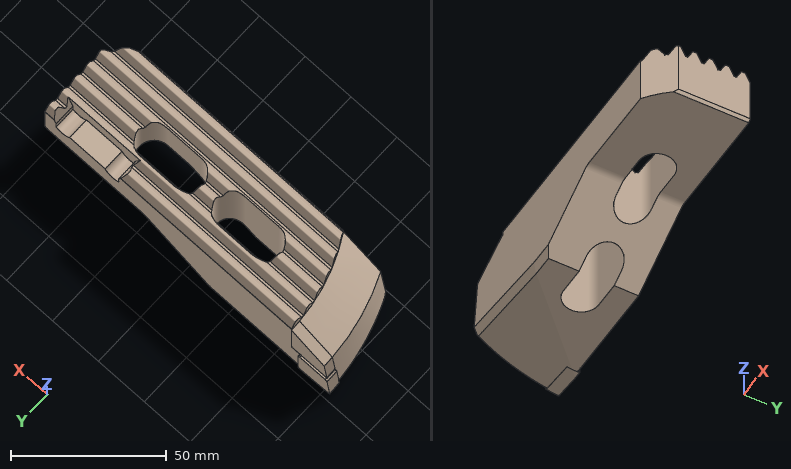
import cadquery as cq
import math

length = 125.0
height = 37.6
jaw_depth = 35.6

tooth_count = 6
tooth_height = 3.5
crest_width = 1.5
valley_width = 0.9
crest_fillet = 0.5
tooth_pitch = 6.0
valley_z = height - tooth_height

ridge_radius = 83.1
ridge_x = 3.1
ridge_z = 24.8
shelf_z = 33.0
shelf_slope = 30.0
nose_lean = 6.3
nose_axis_x = ridge_x + ridge_radius
wall_radius = ridge_radius - (shelf_z - ridge_z) / math.tan(math.radians(shelf_slope))
nose_base_radius = ridge_radius + ridge_z * math.tan(math.radians(nose_lean))

tail_z = 16.5
ramp_foot_x = 53.1
ramp_angle = 30.0
ramp_top_x = ramp_foot_x + tail_z / math.tan(math.radians(ramp_angle))
ramp_fillet = 5.0
tail_chamfer = 1.0
relief_start_x = 11.9
relief_angle = 6.6
relief_turn = 45.0
foot_chamfer = 2.1
nose_edge_fillet = 0.8

edge_margin = 0.1
low_edge_z = 6.2
nose_edge_x = 5.0

corner_size = 9.0
corner_radius = 40.0

slot_count = 2
slot_length = 27.5
slot_width = 13.0
slot_y = 20.0
slot_spacing = 33.9
first_slot_x = 50.5

key_x = 106.4
key_depth = 8.0
key_top_width = 31.5
key_base_width = 27.2
key_floor_width = 15.5
key_floor_z = 29.6
key_groove_depth = 2.5
key_groove_rise = 1.0
key_groove_offset = 11.1
key_flare_z = 31.8

cheek_depth = 4.0
cheek_y = jaw_depth - cheek_depth
insert_top_z = 13.8
insert_end_x = 13.9
insert_back = 0.8
insert_proud = 0.6
insert_chamfer = 0.8


def box(x, y, z):
    """A box between the two limits given for each axis."""
    size = (x[1] - x[0], y[1] - y[0], z[1] - z[0])
    return cq.Workplane("XY").box(*size, centered=False).translate((x[0], y[0], z[0]))


def side_profile():
    """The side outline, extruded over the depth of the jaw and of the insert."""
    profile = (
        cq.Workplane("XZ")
        .moveTo(-insert_proud, 0)
        .lineTo(ramp_foot_x, 0)
        .lineTo(ramp_top_x, tail_z)
        .lineTo(length - tail_chamfer, tail_z)
        .lineTo(length, tail_z + tail_chamfer)
        .lineTo(length, height)
        .lineTo(-insert_proud, height)
        .close()
        .extrude(-(jaw_depth + insert_back))
    )
    ramp_top = cq.selectors.NearestToPointSelector((ramp_top_x, jaw_depth / 2, tail_z))
    return profile.edges(ramp_top).fillet(ramp_fillet)


def nose_form(proud):
    """Solid of revolution that rounds the nose, enlarged outwards by the given amount."""
    return (
        cq.Workplane("XZ", origin=(nose_axis_x, jaw_depth, 0))
        .moveTo(0, 0)
        .lineTo(-nose_base_radius - proud, 0)
        .lineTo(-ridge_radius - proud, ridge_z)
        .lineTo(-wall_radius - proud, shelf_z)
        .lineTo(-wall_radius - proud, height)
        .lineTo(0, height)
        .close()
        .revolve(360, (0, 0, 0), (0, 1, 0))
    )


def nose_relief():
    """Wedge under the nose, rising diagonally towards the nose and the front face."""
    reach = 2 * jaw_depth
    rise = reach * math.tan(math.radians(relief_angle)) / math.cos(math.radians(relief_turn))
    toe = (
        cq.Workplane("XZ")
        .polyline([(0, 0), (-reach, 0), (-reach, rise)])
        .close()
        .extrude(reach, both=True)
    )
    return toe.rotate((0, 0, 0), (0, 0, 1), relief_turn).translate((relief_start_x, jaw_depth, 0))


def toothed_top():
    """Trapezoidal teeth along the whole length, with rounded crest edges, on a full base."""
    flank = (tooth_pitch - crest_width - valley_width) / 2
    outline = [(0, 0), (0, valley_z)]
    for index in range(tooth_count):
        y = index * tooth_pitch + valley_width / 2
        outline += [
            (y, valley_z),
            (y + flank, height),
            (y + flank + crest_width, height),
            (y + 2 * flank + crest_width, valley_z),
        ]
    outline += [(jaw_depth, valley_z), (jaw_depth, 0)]
    bar = cq.Workplane("YZ").polyline(outline).close().extrude(length)
    return bar.faces(">Z").edges("|X").fillet(crest_fillet)


def corner_cut():
    """Waste outside the bowed corner at the tail end."""
    return (
        cq.Workplane("XY")
        .moveTo(length - corner_size, 0)
        .radiusArc((length, corner_size), -corner_radius)
        .lineTo(length, 0)
        .close()
        .extrude(height)
    )


def bolt_slots():
    """The row of through slots."""
    centres = [(first_slot_x + index * slot_spacing, slot_y) for index in range(slot_count)]
    return cq.Workplane("XY").pushPoints(centres).slot2D(slot_length, slot_width).extrude(height)


def keyway():
    """Cutter for the keyway, from the back face forwards."""
    floor = key_floor_width / 2
    base = key_base_width / 2
    top = key_top_width / 2
    groove_x = key_groove_offset
    groove_z = key_floor_z - key_groove_depth
    wall_z = groove_z + key_groove_rise
    return (
        cq.Workplane("XZ", origin=(key_x, jaw_depth, 0))
        .moveTo(-top, height)
        .lineTo(-base, key_flare_z)
        .lineTo(-base, wall_z)
        .threePointArc((-groove_x, groove_z), (-floor, key_floor_z))
        .lineTo(floor, key_floor_z)
        .threePointArc((groove_x, groove_z), (base, wall_z))
        .lineTo(base, key_flare_z)
        .lineTo(top, height)
        .close()
        .extrude(key_depth)
    )


def foot_edges(x, y):
    """Selects the low edges whose centres lie between the given limits along X and Y."""
    return cq.selectors.BoxSelector((x[0], y[0], -edge_margin), (x[1], y[1], low_edge_z))


def round_nose_edge(body):
    """Rounds the edge where the nose meets the relief."""
    edge = foot_edges((-edge_margin, nose_edge_x), (foot_chamfer, jaw_depth + insert_back - edge_margin))
    return body.edges(edge).fillet(nose_edge_fillet)


def make_insert(stock):
    """Wear insert in the lower back of the nose, proud of both the nose and the back face."""
    blank = box((-insert_proud, insert_end_x), (cheek_y, jaw_depth + insert_back), (0, insert_top_z))
    insert = stock.intersect(nose_form(insert_proud)).intersect(blank)
    insert = insert.faces(">Z").edges("<X or >X").chamfer(insert_chamfer)
    return round_nose_edge(insert.cut(nose_relief()))


def make_jaw_blank(stock):
    """The jaw with its nose and underside finished, before teeth, slots and pockets."""
    blank = stock.intersect(nose_form(0)).intersect(box((0, length), (0, jaw_depth), (0, height)))
    blank = blank.cut(nose_relief())
    front_edges = foot_edges((0, ramp_foot_x), (-edge_margin, edge_margin))
    return round_nose_edge(blank.edges(front_edges).chamfer(foot_chamfer))


def make_cheek(blank):
    """Back of the nose above the insert, outside the wall at the tooth ends."""
    region = box((0, nose_axis_x), (cheek_y, jaw_depth), (insert_top_z, shelf_z))
    inner = cq.Workplane("XY").center(nose_axis_x, jaw_depth).circle(wall_radius).extrude(height)
    return blank.intersect(region).cut(inner)


stock = side_profile()
insert = make_insert(stock)
jaw_blank = make_jaw_blank(stock)
cheek = make_cheek(jaw_blank)
jaw = (
    jaw_blank
    .intersect(toothed_top())
    .cut(corner_cut())
    .cut(bolt_slots())
    .cut(keyway())
    .cut(cheek)
    .cut(insert)
)

result = cq.Compound.makeCompound([jaw.val(), cheek.val(), insert.val()])